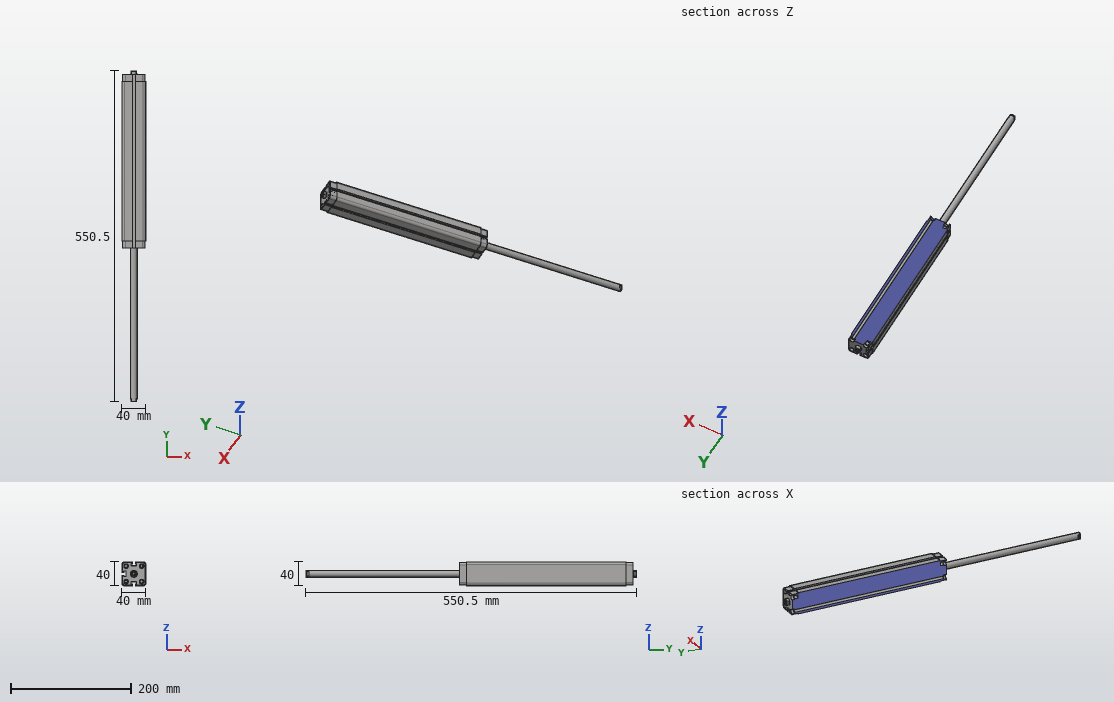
import cadquery as cq

overall_length = 550.5
body_width = 40.0
body_corner_radius = 4.7
cap_width = 38.0
cap_corner_radius = 4.7
cap_length = 12.0

rod_diameter = 11.5
front_rod_length = 255.5
rear_rod_length = 5.5
wrench_flat_width = 9.0
wrench_flat_length = 4.5
rod_bore_diameter = 4.15
rod_bore_depth = 16.0
rod_recess_diameter = 7.5
rod_recess_depth = 1.0

slot_mouth_width = 5.0
slot_inner_width = 9.0
slot_lip_depth = 3.5
slot_depth = 6.5
slot_angles = (0, 90, 180)

screw_spacing = 26.0
counterbore_diameter = 7.5
counterbore_depth = 5.0
through_hole_diameter = 4.15
blind_hole_diameter = 5.25
blind_hole_depth = 11.0

rod_front = -overall_length / 2
rod_rear = overall_length / 2
cap_front = rod_front + front_rod_length
cap_rear = rod_rear - rear_rod_length
body_front = cap_front + cap_length
body_rear = cap_rear - cap_length
housing_length = cap_rear - cap_front


def rounded_bar(width, corner_radius, start, end):
    """Square bar along Y with rounded long edges."""
    bar = cq.Workplane("XY").box(width, end - start, width)
    bar = bar.edges("|Y").fillet(corner_radius)
    return bar.translate((0, (start + end) / 2, 0))


def cylinder_along_y(diameter, start, end, x=0, z=0):
    """Round bar along Y centred on the given X and Z."""
    origin = cq.Vector(x, start, z)
    return cq.Workplane(cq.Solid.makeCylinder(diameter / 2, end - start, origin, cq.Vector(0, 1, 0)))


def end_recess(diameter, depth, x=0, z=0, front=cap_front, rear=cap_rear):
    """Matching round recesses sunk into the front and rear end faces."""
    front_recess = cylinder_along_y(diameter, front, front + depth, x, z)
    rear_recess = cylinder_along_y(diameter, rear - depth, rear, x, z)
    return front_recess.add(rear_recess).combine()


def t_slot(angle):
    """T-slot running the whole housing, cut in from the top and turned about Y."""
    surface = body_width / 2
    middle = (cap_front + cap_rear) / 2
    inner_height = slot_depth - slot_lip_depth
    mouth = cq.Workplane("XY").box(slot_mouth_width, housing_length, slot_depth)
    mouth = mouth.translate((0, middle, surface - slot_depth / 2))
    inner = cq.Workplane("XY").box(slot_inner_width, housing_length, inner_height)
    inner = inner.translate((0, middle, surface - slot_depth + inner_height / 2))
    return mouth.union(inner).rotate((0, 0, 0), (0, 1, 0), -angle)


def make_housing():
    """Profile body between two smaller end caps, with T-slots and corner screw holes."""
    housing = rounded_bar(cap_width, cap_corner_radius, cap_front, cap_rear)
    housing = housing.union(rounded_bar(body_width, body_corner_radius, body_front, body_rear))
    for angle in slot_angles:
        housing = housing.cut(t_slot(angle))
    for x_side in (-1, 1):
        for z_side in (-1, 1):
            x = x_side * screw_spacing / 2
            z = z_side * screw_spacing / 2
            housing = housing.cut(end_recess(counterbore_diameter, counterbore_depth, x, z))
            if x_side == z_side:
                hole = cylinder_along_y(through_hole_diameter, cap_front, cap_rear, x, z)
            else:
                hole = end_recess(blind_hole_diameter, blind_hole_depth, x, z)
            housing = housing.cut(hole)
    return housing


def make_rod():
    """Through rod with two wrench flats (facing -X and +X) at each end."""
    rod = cylinder_along_y(rod_diameter, rod_front, rod_rear)
    plain_part = cylinder_along_y(rod_diameter, rod_front + wrench_flat_length, rod_rear - wrench_flat_length)
    flats = cq.Workplane("XY").box(wrench_flat_width, overall_length, rod_diameter)
    return rod.intersect(flats).union(plain_part)


rod_bores = end_recess(rod_bore_diameter, rod_bore_depth, front=rod_front, rear=rod_rear)
rod_recesses = end_recess(rod_recess_diameter, rod_recess_depth, front=rod_front, rear=rod_rear)
result = make_housing().union(make_rod()).cut(rod_bores).cut(rod_recesses)